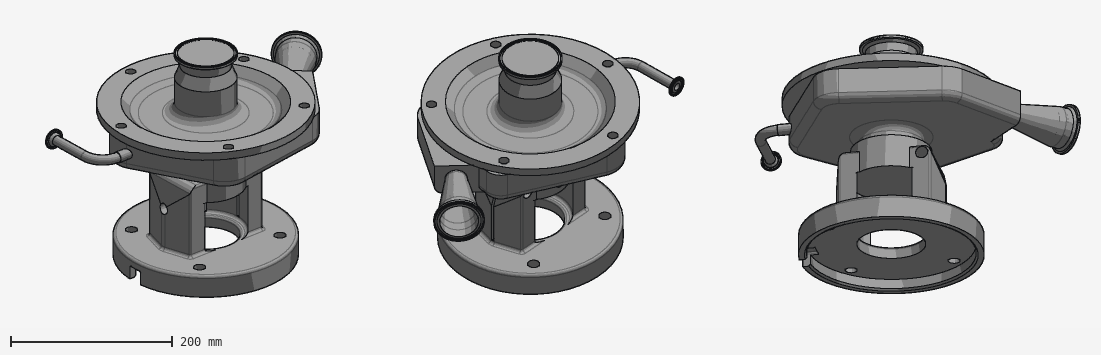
import cadquery as cq
import math

base_top = 30.0
hub_bottom = 98.5
leg_top = 127.2
hub_top = 140.5
casing_bottom = 160.0
flange_bottom = 202.5
flange_top = 212.7
port_top = 281.5
casing_middle = (casing_bottom + flange_bottom) / 2

pick_margin = 0.5

base_radius = 115.0
base_edge_round = 3.7
base_bore_radius = 42.5
base_bore_round = 2.5
motor_recess_radius = 105.0
motor_recess_depth = 15.0
motor_recess_chamfer = 2.5
base_bolt_circle_radius = 92.0
base_bolt_radius = 7.5
base_bolt_count = 4
base_bolt_angle = 45
base_slot_width = 20.2
base_slot_height = 18.5
base_slot_length = 20.5
base_slot_round = 2.0

leg_half_width = 39.2
leg_bore_radius = 52.5
leg_side_y = 58.2
leg_ridge_y = 69.0
leg_ridge_half_width = 3.1
leg_slope_top = 119.5
leg_slope_bottom = 89.2
leg_edge_round = 2.5
leg_foot_round = 4.0
ridge_hole_radius = 7.0
ridge_hole_height = 86.5
clamp_hole_radius = 15.3 / 2
clamp_hole_y = 47.0
clamp_hole_height = 117.7
clamp_slit_width = 3.5

hub_radius = 50.5
hub_hole_height = 113.5
hub_hole_depth = 8.3
neck_radius = 41.7
neck_flare = 10.0

corner_count = 5
first_bolt_angle = 45
corner_pitch = 360 / corner_count
corner_circle_radius = 99.0
corner_round = 34.3
casing_bottom_round = 10.5
casing_face_distance = corner_circle_radius * math.cos(math.radians(corner_pitch / 2)) + corner_round

outlet_angle = 135
outlet_side_normal_angle = 54.5
outlet_face_distance = 110.5
outlet_tip = (9.0, 165.5)
cutwater_face_distance = 120.5
cutwater_round = 22.7

flange_radius = 135.0
flange_bolt_circle_radius = 122.3
flange_bolt_radius = 13.0 / 2
dish_radius = 105.0
dish_depth = 15.3
dish_round = 15.0
dish_wall_angle = 45

port_body_radius = 39.0
port_throat_radius = 32.2
port_body_top = 247.0
port_throat_bottom = 263.5

ferrule_lip = 3.5
ferrule_height = 6.5
groove_depth = 1.2
groove_margin = 1.5
groove_width = 2.5
inlet_ferrule_radius = 39.2
outlet_ferrule_radius = 31.5

pipe_wall = 1.5

outlet_axis_offset = 96.5
outlet_end_distance = 195.5
outlet_radius = 25.5
outlet_throat_radius = 14.0
outlet_straight = 17.0
outlet_throat_length = 3.0
outlet_bore_straight = 13.5
outlet_bore_taper_start = 25.0
outlet_overlap = 4.0

drain_height = 184.0
drain_radius = 13.0 / 2
drain_collar_radius = 7.0
drain_collar_end = -143.0
drain_bend_radius = 28.5
drain_end_x = -89.0
drain_ferrule_radius = 13.0
drain_ferrule_lip = 2.0
drain_ferrule_height = 5.8


def cylinder(radius, bottom, top):
    return cq.Workplane("XY").workplane(offset=bottom).circle(radius).extrude(top - bottom)


def turned(profile):
    """Solid of revolution about Z from (radius, height) points."""
    return cq.Workplane("XZ").polyline(profile).close().revolve(360, (0, 0, 0), (0, 1, 0))


def ring(outer_radius, inner_radius, bottom, top):
    return cylinder(outer_radius, bottom, top).cut(cylinder(inner_radius, bottom, top))


def direction(angle):
    return (math.cos(math.radians(angle)), math.sin(math.radians(angle)))


def line_meeting(angle_a, distance_a, angle_b, distance_b):
    """Point shared by two lines given by normal angle and distance from the axis."""
    ax, ay = direction(angle_a)
    bx, by = direction(angle_b)
    area = ax * by - ay * bx
    return ((distance_a * by - distance_b * ay) / area, (ax * distance_b - bx * distance_a) / area)


def ferrule(radius, tube_radius, lip, height, top):
    """Clamp ferrule with a conical back and a gasket groove in its face."""
    groove_outer = radius - groove_margin
    groove_inner = groove_outer - groove_width
    body = turned([
        (0, top - height),
        (tube_radius, top - height),
        ((radius + tube_radius) / 2, top - lip),
        (radius, top - lip),
        (radius, top),
        (0, top),
    ])
    return body.cut(ring(groove_outer, groove_inner, top - groove_depth, top))


def make_base():
    base = cylinder(base_radius, 0, base_top).faces(">Z").edges().fillet(base_edge_round)
    base = base.cut(cylinder(base_bore_radius, 0, base_top))
    inner_edge = cq.selectors.RadiusNthSelector(0)
    base = base.faces(">Z").edges(inner_edge).fillet(base_bore_round)
    recess = cylinder(motor_recess_radius, 0, motor_recess_depth)
    base = base.cut(recess)
    base = base.faces("<Z").edges(inner_edge).chamfer(motor_recess_chamfer)
    bolts = (
        cq.Workplane("XY")
        .polarArray(base_bolt_circle_radius, base_bolt_angle, 360, base_bolt_count)
        .circle(base_bolt_radius)
        .extrude(base_top)
    )
    slot = (
        cq.Workplane("XY")
        .box(base_slot_width, base_slot_length, base_slot_height, centered=(True, False, False))
        .edges("|Y and >Z")
        .fillet(base_slot_round)
        .translate((0, -base_radius, 0))
    )
    return base.cut(bolts).cut(slot)


def make_leg():
    """Leg on the +Y side, with a ridged outer wall and a sloping shoulder."""
    plan = [
        (-leg_half_width, 0),
        (leg_half_width, 0),
        (leg_half_width, leg_side_y),
        (leg_ridge_half_width, leg_ridge_y),
        (-leg_ridge_half_width, leg_ridge_y),
        (-leg_half_width, leg_side_y),
    ]
    column = cq.Workplane("XY").workplane(offset=base_top).polyline(plan).close()
    column = column.extrude(leg_top - base_top)
    corners = cq.selectors.BoxSelector(
        (-leg_half_width - pick_margin, leg_side_y - pick_margin, base_top),
        (leg_half_width + pick_margin, leg_side_y + pick_margin, leg_top),
    )
    column = column.edges("|Z").edges(corners).fillet(leg_edge_round)
    slope_y = leg_side_y - leg_ridge_y
    slope_z = leg_slope_top - leg_slope_bottom
    rise = leg_top - leg_slope_top
    shoulder_y = leg_side_y + rise * (slope_y - math.hypot(slope_y, slope_z)) / slope_z
    side = (
        cq.Workplane("YZ")
        .moveTo(0, base_top)
        .lineTo(leg_ridge_y, base_top)
        .lineTo(leg_ridge_y, leg_slope_bottom)
        .lineTo(leg_side_y, leg_slope_top)
        .tangentArcPoint((shoulder_y, leg_top), relative=False)
        .lineTo(0, leg_top)
        .close()
        .extrude(leg_half_width, both=True)
    )
    rounded_block = (
        cq.Workplane("XY", origin=(0, 0, base_top))
        .box(2 * leg_half_width, leg_ridge_y, leg_top - base_top, centered=(True, False, False))
        .edges("|Y and >Z")
        .fillet(leg_edge_round)
    )
    leg = column.intersect(side).intersect(rounded_block)
    return leg.cut(cylinder(leg_bore_radius, base_top, hub_bottom))


def make_frame():
    """Base with two opposite legs blended into it."""
    leg = make_leg()
    frame = make_base().union(leg).union(leg.mirror("XZ"))
    side = leg_half_width + pick_margin
    reach = leg_ridge_y + pick_margin
    inner = leg_bore_radius / 2
    low = base_top - pick_margin
    high = base_top + pick_margin
    back_foot = cq.selectors.BoxSelector((-side, inner, low), (side, reach, high))
    front_foot = cq.selectors.BoxSelector((-side, -reach, low), (side, -inner, high))
    return frame.edges(back_foot + front_foot).fillet(leg_foot_round)


def cut_frame_details(frame):
    """Ridge hole in the -Y leg, clamp hole and slit in the +Y leg, blind hole in the hub."""
    ridge_hole = (
        cq.Workplane("XZ", origin=(0, 0, ridge_hole_height))
        .circle(ridge_hole_radius)
        .extrude(leg_ridge_y)
    )
    clamp_hole = (
        cq.Workplane("YZ", origin=(0, clamp_hole_y, clamp_hole_height))
        .circle(clamp_hole_radius)
        .extrude(2 * leg_half_width, both=True)
    )
    hub_hole = (
        cq.Workplane("YZ", origin=(-hub_radius, 0, hub_hole_height))
        .circle(clamp_hole_radius)
        .extrude(hub_hole_depth)
    )
    slit_bottom = base_top + leg_foot_round
    slit = (
        cq.Workplane("XY", origin=(0, neck_radius, slit_bottom))
        .box(clamp_slit_width, leg_ridge_y, hub_top - slit_bottom, centered=(True, False, False))
    )
    return frame.cut(ridge_hole).cut(clamp_hole).cut(hub_hole).cut(slit)


def make_neck():
    flare_bottom = casing_bottom - neck_flare
    flare_mid = neck_flare * (1 - math.sqrt(0.5))
    return (
        cq.Workplane("XZ")
        .moveTo(0, hub_bottom)
        .lineTo(neck_radius, hub_bottom)
        .lineTo(neck_radius, flare_bottom)
        .threePointArc(
            (neck_radius + flare_mid, casing_bottom - flare_mid),
            (neck_radius + neck_flare, casing_bottom),
        )
        .lineTo(0, casing_bottom)
        .close()
        .revolve(360, (0, 0, 0), (0, 1, 0))
    )


def upright_at(x, y):
    """Selector for the upright casing edge at a plan position."""
    return cq.selectors.NearestToPointSelector((x, y, casing_middle))


def make_casing():
    """Rounded pentagon with the outlet shoulder growing out of its back faces."""
    side_x, side_y = direction(outlet_side_normal_angle)
    tip_distance = outlet_tip[0] * side_x + outlet_tip[1] * side_y
    faces = [
        (first_bolt_angle - corner_pitch / 2, casing_face_distance),
        (outlet_side_normal_angle, tip_distance),
        (outlet_angle, outlet_face_distance),
        (first_bolt_angle + corner_pitch / 2, cutwater_face_distance),
    ]
    for step in range(1, corner_count - 1):
        faces.append((first_bolt_angle + corner_pitch * (step + 0.5), casing_face_distance))
    corners = []
    for face, following in zip(faces, faces[1:] + faces[:1]):
        corners.append(line_meeting(*face, *following))

    casing = cq.Workplane("XY").workplane(offset=casing_bottom).polyline(corners).close()
    casing = casing.extrude(flange_bottom - casing_bottom)
    side_corner, tip, notch, cutwater, *plain_corners = corners
    for x, y in [side_corner] + plain_corners:
        casing = casing.edges(upright_at(x, y)).fillet(corner_round)
    casing = casing.edges(upright_at(*cutwater)).fillet(cutwater_round)

    middle = ((tip[0] + notch[0]) / 2, (tip[1] + notch[1]) / 2)
    outlet_edge = cq.selectors.NearestToPointSelector((*middle, casing_bottom))
    rounded = casing.faces("<Z").edges().edges(cq.selectors.InverseSelector(outlet_edge))
    return rounded.fillet(casing_bottom_round)


def make_flange():
    flange = cylinder(flange_radius, flange_bottom, flange_top)
    bolts = (
        cq.Workplane("XY", origin=(0, 0, flange_bottom))
        .polarArray(flange_bolt_circle_radius, first_bolt_angle, 360, corner_count)
        .circle(flange_bolt_radius)
        .extrude(flange_top - flange_bottom)
    )
    return flange.cut(bolts)


def make_dish():
    """Ring-shaped hollow around the inlet port: sloping wall, flat floor, round foot."""
    floor = flange_top - dish_depth
    wall_angle = math.radians(dish_wall_angle)
    wall_foot = dish_radius - dish_depth / math.tan(wall_angle)
    floor_edge = wall_foot - dish_round * math.tan(wall_angle / 2)

    def outer_blend(angle):
        return (floor_edge + dish_round * math.sin(angle), floor + dish_round * (1 - math.cos(angle)))

    port_blend = dish_round * (1 - math.sqrt(0.5))
    port_foot = port_body_radius + dish_round
    return (
        cq.Workplane("XZ")
        .moveTo(port_body_radius, flange_top)
        .lineTo(port_body_radius, floor + dish_round)
        .threePointArc((port_body_radius + port_blend, floor + port_blend), (port_foot, floor))
        .lineTo(floor_edge, floor)
        .threePointArc(outer_blend(wall_angle / 2), outer_blend(wall_angle))
        .lineTo(dish_radius, flange_top)
        .close()
        .revolve(360, (0, 0, 0), (0, 1, 0))
    )


def make_inlet():
    tube = turned([
        (0, flange_bottom),
        (port_body_radius, flange_bottom),
        (port_body_radius, port_body_top),
        (port_throat_radius, port_throat_bottom),
        (port_throat_radius, port_top - ferrule_height),
        (0, port_top - ferrule_height),
    ])
    rim = ferrule(inlet_ferrule_radius, port_throat_radius, ferrule_lip, ferrule_height, port_top)
    return tube.union(rim)


def make_outlet():
    """Tapered outlet pipe, turned about Z and then laid along the outlet direction."""
    top = outlet_end_distance
    cone_top = top - outlet_straight
    cone_bottom = outlet_face_distance + outlet_throat_length
    pipe = turned([
        (0, outlet_face_distance - outlet_overlap),
        (outlet_throat_radius, outlet_face_distance - outlet_overlap),
        (outlet_throat_radius, cone_bottom),
        (outlet_radius, cone_top),
        (outlet_radius, top - ferrule_height),
        (0, top - ferrule_height),
    ])
    pipe = pipe.union(ferrule(outlet_ferrule_radius, outlet_radius, ferrule_lip, ferrule_height, top))
    bore_radius = outlet_radius - pipe_wall
    taper = (outlet_radius - outlet_throat_radius) / (cone_top - cone_bottom)
    taper_start_radius = bore_radius - taper * (outlet_bore_taper_start - outlet_straight)
    bore = turned([
        (0, cone_bottom),
        (outlet_throat_radius - pipe_wall, cone_bottom),
        (taper_start_radius, top - outlet_bore_taper_start),
        (bore_radius, top - outlet_bore_straight),
        (bore_radius, top),
        (0, top),
    ])
    pipe = pipe.cut(bore).rotate((0, 0, 0), (1, 0, 0), -90)
    pipe = pipe.translate((outlet_axis_offset, 0, casing_middle))
    return pipe.rotate((0, 0, 0), (0, 0, 1), outlet_angle - 90)


def make_drain():
    """Bent drain pipe leaving the -Y side and turning toward -X."""
    bend_middle = drain_bend_radius * (1 - math.sqrt(0.5))
    run_y = drain_collar_end - drain_bend_radius
    start = cq.Workplane("XZ", origin=(0, -corner_circle_radius, drain_height))
    path = (
        cq.Workplane("XY", origin=(0, 0, drain_height))
        .moveTo(0, -corner_circle_radius)
        .lineTo(0, drain_collar_end)
        .threePointArc((-bend_middle, run_y + bend_middle), (-drain_bend_radius, run_y))
        .lineTo(drain_end_x, run_y)
        .wire()
    )
    pipe = start.circle(drain_radius).sweep(path)
    collar = start.circle(drain_collar_radius).extrude(-drain_collar_end - corner_circle_radius)
    end = ferrule(drain_ferrule_radius, drain_radius, drain_ferrule_lip, drain_ferrule_height, 0)
    end = end.rotate((0, 0, 0), (0, 1, 0), -90).translate((drain_end_x, run_y, drain_height))
    bore = start.circle(drain_radius - pipe_wall).sweep(path)
    return pipe.union(collar).union(end).cut(bore)


frame = make_frame().union(cylinder(hub_radius, hub_bottom, hub_top))
frame = cut_frame_details(frame)
pump = make_casing().union(make_flange()).union(make_neck()).cut(make_dish())
result = frame.union(pump)
for port in (make_inlet(), make_outlet(), make_drain()):
    result = result.union(port)